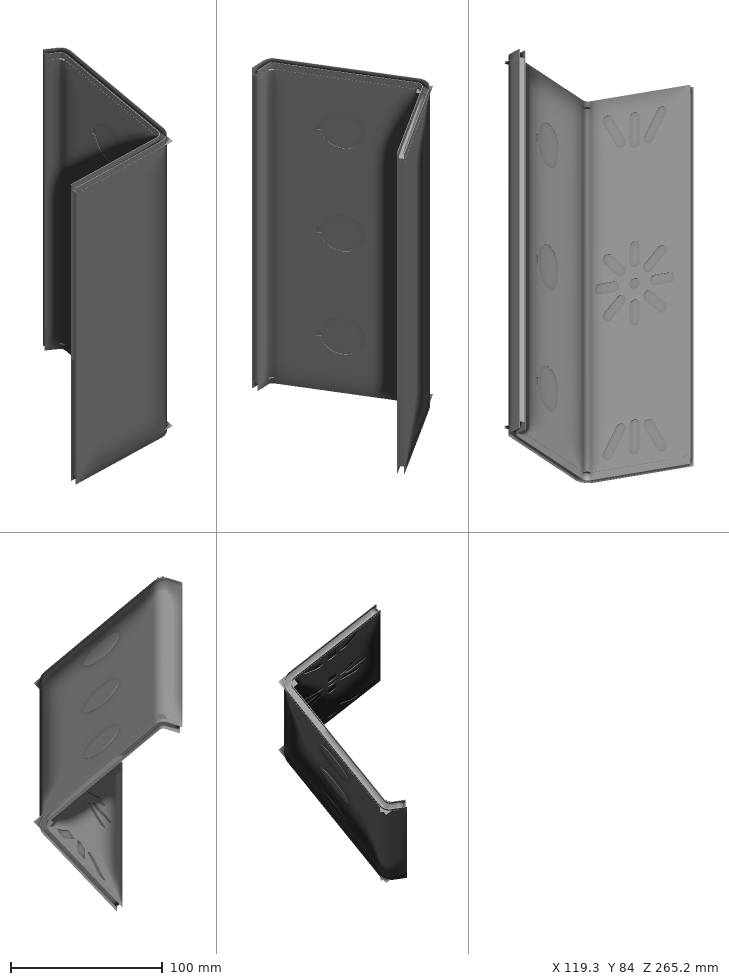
import cadquery as cq
import math

HEIGHT = 265.2
WIDTH = 119.3
DEPTH = 84.0

THICKNESS = 5.3
SKIN = 0.4
SKIN_INSET = 0.13
CORE_MARGIN = 5.3
END_MARGIN = 0.8
CORE_CORNER = 5.3
CAP_ROOT = 1.5

BEND_RADIUS = 9.3
FLANGE_ANGLE = 60.0
FLANGE_STRAIGHT = 10.0
WEB = 0.3
BACK_WEB_LENGTH = 8.0
FLANGE_WEB_LENGTH = 7.5
FLANGE_WEB_WIDTH = 6.5

KNOCKOUT_DIAMETER = 30.5
KNOCKOUT_PITCH = 85.0
KNOCKOUT_X = -60.0
KNOCKOUT_OFFSET = 0.3
TAB_DEPTH = 0.4
TAB_WIDTH = 5.5
TAB_LENGTH = 2.5
TAB_OVERLAP = 0.5

SLOT_WIDTH = 7.5
SLOT_DEPTH = 0.5
PATTERN_FROM_END = 40.8
STAR_SLOTS = 8
CROSS_SLOT_LENGTH = 18.0
CROSS_SLOT_RADIUS = 20.5
DIAGONAL_SLOT_LENGTH = 21.2
DIAGONAL_SLOT_RADIUS = 21.2
FAN_SLOT_LENGTH = 25.0
FAN_SLOT_Z = 107.5
FAN_SIDE_LENGTH = 26.8
FAN_SIDE_SPREAD = 15.0
FAN_SIDE_Z = 108.5
FAN_SIDE_TILT = 30.0

angle = math.radians(FLANGE_ANGLE)
flange_along = cq.Vector(-math.cos(angle), -math.sin(angle), 0)
flange_out = cq.Vector(-math.sin(angle), math.cos(angle), 0)
leg_center = cq.Vector(-BEND_RADIUS, -BEND_RADIUS, 0)
flange_reach = (BEND_RADIUS - SKIN_INSET) * math.sin(angle) + FLANGE_STRAIGHT * math.cos(angle)
flange_center = cq.Vector(flange_reach - WIDTH, -BEND_RADIUS, 0)
web_point_y = BEND_RADIUS * math.cos(angle) + FLANGE_WEB_LENGTH * math.sin(angle) - BEND_RADIUS
leg_end_y = web_point_y - DEPTH
core_top = HEIGHT / 2 - CORE_MARGIN
pattern_y = leg_end_y + PATTERN_FROM_END


def layer(outer_depth, inner_depth, end_margin, height):
    """Bent layer between two depths below the outer face, centred on mid-height."""

    def around(center, radius, degrees):
        turn = math.radians(degrees)
        return center + cq.Vector(math.cos(turn), math.sin(turn), 0) * radius

    def face_points(depth):
        radius = BEND_RADIUS - depth
        flange_start = flange_center + flange_out * radius
        return [
            cq.Vector(-depth, leg_end_y + end_margin, 0),
            around(leg_center, radius, 0),
            around(leg_center, radius, 45),
            around(leg_center, radius, 90),
            around(flange_center, radius, 90),
            around(flange_center, radius, 90 + FLANGE_ANGLE / 2),
            flange_start,
            flange_start + flange_along * (FLANGE_STRAIGHT - end_margin),
        ]

    def trace(outline, points):
        outline = outline.lineTo(points[1].x, points[1].y)
        outline = outline.threePointArc(points[2].toTuple()[:2], points[3].toTuple()[:2])
        outline = outline.lineTo(points[4].x, points[4].y)
        outline = outline.threePointArc(points[5].toTuple()[:2], points[6].toTuple()[:2])
        return outline.lineTo(points[7].x, points[7].y)

    outer = face_points(outer_depth)
    inner = face_points(inner_depth)[::-1]
    outline = trace(cq.Workplane("XY").moveTo(outer[0].x, outer[0].y), outer)
    outline = trace(outline.lineTo(inner[0].x, inner[0].y), inner)
    return outline.close().extrude(height / 2, both=True)


def core():
    """Bent core plate with rounded corners at both free ends."""
    plate = layer(0, THICKNESS, END_MARGIN, 2 * core_top)
    plate = plate.edges("|X").edges("<Y").fillet(CORE_CORNER)
    return plate.edges(cq.ParallelDirSelector(flange_out)).fillet(CORE_CORNER)


def skins():
    """Full-height skins on the outer and inner faces."""
    outer = layer(SKIN_INSET, SKIN_INSET + SKIN, 0, HEIGHT)
    inner_depth = THICKNESS - SKIN_INSET
    inner = layer(inner_depth - SKIN, inner_depth, 0, HEIGHT)
    return outer, inner


def block(corner, inward, along, bottom, height):
    """Upright block whose plan is spanned by two vectors from a corner."""
    points = [corner, corner + inward, corner + inward + along, corner + along]
    outline = [(p.x, p.y) for p in points]
    return cq.Workplane("XY").workplane(offset=bottom).polyline(outline).close().extrude(height)


def corner_webs():
    """Thin webs across both bends, lying on the top and bottom of the core."""
    right = cq.Vector(1, 0, 0)
    down = cq.Vector(0, -1, 0)
    leg_tangent = cq.Vector(-BEND_RADIUS, 0, 0)
    back_tangent = cq.Vector(flange_center.x, 0, 0)
    flange_tangent = flange_center + flange_out * BEND_RADIUS
    flange_inward = flange_out * -FLANGE_WEB_WIDTH
    flange_back = flange_along * -FLANGE_WEB_LENGTH
    webs = []
    for bottom in (core_top, -core_top - WEB):
        webs += [
            block(leg_tangent, down * BEND_RADIUS, right * BEND_RADIUS, bottom, WEB),
            block(back_tangent, down * FLANGE_WEB_WIDTH, right * -BACK_WEB_LENGTH, bottom, WEB),
            block(flange_tangent, flange_inward, flange_back, bottom, WEB),
        ]
    return webs


def end_caps():
    """Thin caps between the skins that square off the rounded corners of the core."""
    leg_corner = cq.Vector(0, leg_end_y + END_MARGIN, 0)
    flange_corner = flange_center + flange_out * BEND_RADIUS + flange_along * (FLANGE_STRAIGHT - END_MARGIN)
    ends = [
        (leg_corner, cq.Vector(-1, 0, 0), cq.Vector(0, 1, 0)),
        (flange_corner, flange_out * -1, flange_along * -1),
    ]
    height = CORE_CORNER + CAP_ROOT
    caps = []
    for corner, inward, along in ends:
        for bottom in (core_top - height, -core_top):
            caps.append(block(corner, inward * THICKNESS, along * WEB, bottom, height))
    return caps


knockout_spots = [(KNOCKOUT_X, row * KNOCKOUT_PITCH) for row in (-1, 0, 1)]


def knockout_discs(face_y):
    """Three discs, one offset deep, extending toward +Y from the given Y."""
    plane = cq.Workplane("XZ", origin=(0, face_y, 0))
    return plane.pushPoints(knockout_spots).circle(KNOCKOUT_DIAMETER / 2).extrude(-KNOCKOUT_OFFSET)


def knockout_tabs():
    """Pry notch beside each knockout, sunk into the inside of the back."""
    tab_center_x = -KNOCKOUT_DIAMETER / 2 + TAB_OVERLAP / 2 - TAB_LENGTH / 2
    spots = [(x + tab_center_x, z) for x, z in knockout_spots]
    plane = cq.Workplane("XZ", origin=(0, -THICKNESS, 0))
    return plane.pushPoints(spots).rect(TAB_LENGTH + TAB_OVERLAP, TAB_WIDTH).extrude(-TAB_DEPTH)


def leg_slots():
    """Star of slots at mid-height and a fan of three slots near each end."""
    plane = cq.Workplane("YZ", origin=(-THICKNESS, pattern_y, 0))
    cutter = plane.circle(SLOT_WIDTH / 2).extrude(SLOT_DEPTH)

    def slot(y, z, length, degrees):
        return plane.center(y, z).slot2D(length, SLOT_WIDTH, degrees).extrude(SLOT_DEPTH)

    for step in range(STAR_SLOTS):
        degrees = 360 / STAR_SLOTS * step
        diagonal = step % 2 == 1
        length = DIAGONAL_SLOT_LENGTH if diagonal else CROSS_SLOT_LENGTH
        radius = DIAGONAL_SLOT_RADIUS if diagonal else CROSS_SLOT_RADIUS
        turn = math.radians(degrees)
        cutter = cutter.union(slot(radius * math.cos(turn), radius * math.sin(turn), length, degrees))
    for end in (-1, 1):
        cutter = cutter.union(slot(0, end * FAN_SLOT_Z, FAN_SLOT_LENGTH, 90))
        for side in (-1, 1):
            tilt = 90 - side * end * FAN_SIDE_TILT
            cutter = cutter.union(slot(side * FAN_SIDE_SPREAD, end * FAN_SIDE_Z, FAN_SIDE_LENGTH, tilt))
    return cutter


body = core()
for piece in (*skins(), *corner_webs(), *end_caps()):
    body = body.union(piece)
body = body.union(knockout_discs(0))
body = body.cut(knockout_discs(-THICKNESS))
body = body.cut(knockout_tabs())
result = body.cut(leg_slots())